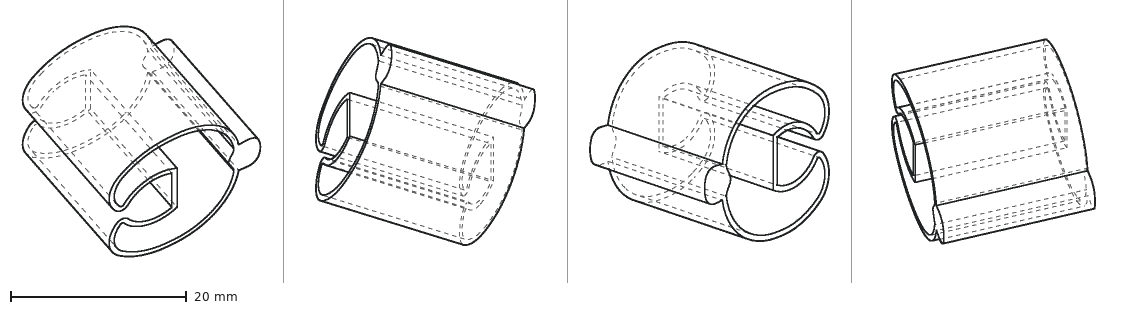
import cadquery as cq
import math

LENGTH = 18.0
WALL = 0.7

HALF_HEIGHT = 9.3
CROWN_BACK_Y = -1.32
CROWN_FRONT_Y = -2.25
BACK_SHOULDER = (3.32, 8.08)
BACK_END = (7.5, 1.45)
FRONT_CROWN_MID = (-5.9, 8.6)
FRONT_SHOULDER = (-8.88, 6.8)
FRONT_SIDE = (-10.25, 3.73)

LIP_OUTER = (-9.34, 1.2)
LIP_BOTTOM = (-8.53, 0.75)
LIP_INNER = (-7.69, 1.15)

SLOT_RADIUS = 4.7
SLOT_PEAK = (-3.65, 3.34)
SLOT_END_Y = -1.7
SLOT_AXIS_Z = SLOT_PEAK[1] - SLOT_RADIUS


def slot_arc_point(radius, y):
    """Point at the given Y on an arc concentric with the slot roof."""
    return (y, SLOT_AXIS_Z + math.sqrt(radius**2 - (y - SLOT_PEAK[0]) ** 2))


SLOT_CORNER = slot_arc_point(SLOT_RADIUS, SLOT_END_Y)

BEAD_HALF_HEIGHT = 2.29
BEAD_TIP_Y = 10.37
BEAD_SIDE = (10.1, 1.45)
BEAD_SHOULDER = (8.78, BEAD_HALF_HEIGHT)
BEAD_CORNER_MID = (9.65, 1.98)
BEAD_ROOT = (7.46, 2.2)
BEAD_NECK_MID = (8.15, 2.27)

NOSE_TIP_Y = 6.05
NOSE_SIDE = (6.16, 0.54)
NOSE_BLEND_START = (6.53, 1.17)
NOSE_BLEND_MID = (6.7, 1.59)
NOSE_BLEND_END = (6.75, 2.06)


def mirrored(point):
    """Reflect a profile point in the plane Z = 0."""
    return (point[0], -point[1])


def make_half_envelope():
    """Upper half of the filled outer shape, including the slot and mouth as empty space."""
    return (
        cq.Workplane("YZ")
        .moveTo(CROWN_FRONT_Y, HALF_HEIGHT)
        .lineTo(CROWN_BACK_Y, HALF_HEIGHT)
        .tangentArcPoint(BACK_SHOULDER, relative=False)
        .tangentArcPoint(BACK_END, relative=False)
        .lineTo(BACK_END[0], 0)
        .lineTo(SLOT_CORNER[0], 0)
        .lineTo(*SLOT_CORNER)
        .threePointArc(SLOT_PEAK, LIP_INNER)
        .threePointArc(LIP_BOTTOM, LIP_OUTER)
        .threePointArc(FRONT_SIDE, FRONT_SHOULDER)
        .threePointArc(FRONT_CROWN_MID, (CROWN_FRONT_Y, HALF_HEIGHT))
        .close()
        .extrude(LENGTH / 2, both=True)
    )


def make_shell():
    """Hollow the envelope to a constant wall thickness."""
    upper_half = make_half_envelope()
    envelope = upper_half.union(upper_half.mirror("XY")).clean()
    cavity_outline = envelope.faces(">X").wires().toPending().offset2D(-WALL, "arc")
    cavity = cavity_outline.extrude(-LENGTH, combine=False)
    return envelope.cut(cavity)


def make_slot_corner():
    """Sharp outer corner where the slot roof wall meets its end wall."""
    outer_radius = SLOT_RADIUS + WALL
    outer_y = SLOT_END_Y + WALL
    return (
        cq.Workplane("YZ")
        .moveTo(*SLOT_PEAK)
        .lineTo(SLOT_PEAK[0], SLOT_PEAK[1] + WALL)
        .threePointArc(
            slot_arc_point(outer_radius, (SLOT_PEAK[0] + outer_y) / 2),
            slot_arc_point(outer_radius, outer_y),
        )
        .lineTo(outer_y, 0)
        .lineTo(SLOT_END_Y, 0)
        .lineTo(*SLOT_CORNER)
        .threePointArc(slot_arc_point(SLOT_RADIUS, (SLOT_PEAK[0] + SLOT_END_Y) / 2), SLOT_PEAK)
        .close()
        .extrude(LENGTH / 2, both=True)
    )


def make_bead():
    """Solid bead with a rounded outer edge and a nose inside the shell."""
    return (
        cq.Workplane("YZ")
        .moveTo(*mirrored(BEAD_SIDE))
        .threePointArc((BEAD_TIP_Y, 0), BEAD_SIDE)
        .threePointArc(BEAD_CORNER_MID, BEAD_SHOULDER)
        .threePointArc(BEAD_NECK_MID, BEAD_ROOT)
        .lineTo(*NOSE_BLEND_END)
        .threePointArc(NOSE_BLEND_MID, NOSE_BLEND_START)
        .lineTo(*NOSE_SIDE)
        .threePointArc((NOSE_TIP_Y, 0), mirrored(NOSE_SIDE))
        .lineTo(*mirrored(NOSE_BLEND_START))
        .threePointArc(mirrored(NOSE_BLEND_MID), mirrored(NOSE_BLEND_END))
        .lineTo(*mirrored(BEAD_ROOT))
        .threePointArc(mirrored(BEAD_NECK_MID), mirrored(BEAD_SHOULDER))
        .threePointArc(mirrored(BEAD_CORNER_MID), mirrored(BEAD_SIDE))
        .close()
        .extrude(LENGTH / 2, both=True)
    )


upper_corner = make_slot_corner()
lower_corner = upper_corner.mirror("XY")
result = make_shell().union(make_bead()).union(upper_corner).union(lower_corner).clean()